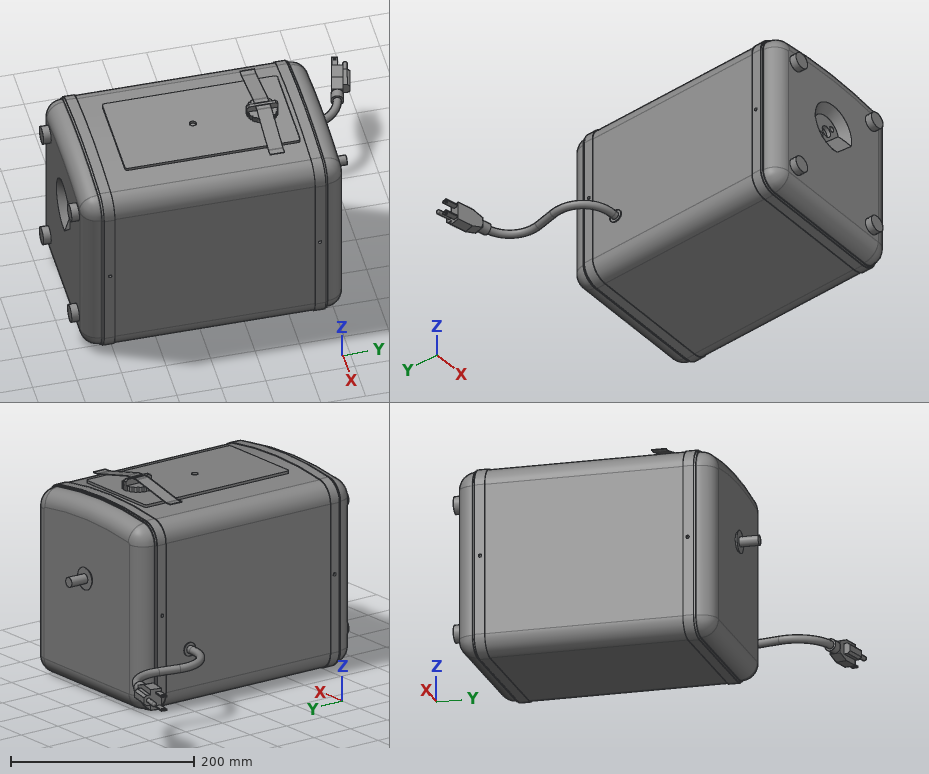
import cadquery as cq
import math


band_half_width = 98.9
band_top = 88.9
band_bottom = -134.85
crown_radius = 510.0
top_corner_radius = 24.0
bottom_corner_radius = 22.0

housing_length = 293.6
cap_inset = 2.4
cap_fillet = 19.2
cap_depth = 19.9
lip_inset = 1.2
lip_depth = 2.2
band_depth = 12.1
shell_inset = 0.9

foot_radius = 10.0
foot_height = 8.6
foot_x = 65.0
foot_heights = (49.0, -99.0)

recess_radius = 31.2
recess_depth = 10.0
ramp_angle = 45.0
recess_floor_radius = recess_radius - recess_depth
ramp_foot = 10.4
ramp_head = 26.4
dial_hole_radius = 7.0
recess_hole_depth = 5.0
pin_hole_radius = 3.3
pin_hole_offset = 13.0

shaft_radius = 5.6
shaft_reach = 24.6
flange_radius = 12.9
flange_back_radius = 10.4
flange_thickness = 2.8

panel_width = 108.4
panel_length = 197.0
panel_y = 8.5
panel_top = 90.6
panel_root = 87.6
panel_corner = 3.0
panel_hole_radius = 3.8
panel_hole_depth = 3.0
panel_hole_y = -1.0

screw_hole_radius = 1.8
screw_hole_depth = 3.0
screw_hole_y = 118.0
screw_hole_z = -22.7

strap_y = 77.0
strap_width = 16.3
strap_thickness = 0.8
strap_top = 103.52
strap_flat_half = 8.1
strap_bend_x = 62.2
strap_end_x = 69.8
knob_radius = 17.5
knob_height = 5.6
flute_count = 20
flute_radius = 1.2
grip_width = 4.2
grip_length = 2 * knob_radius
grip_chamfer = 2.5
grip_below_strap_top = 0.3

cord_radius = 4.6
cord_y = 80.2
cord_z = -69.0
cord_collar_radius = 7.8
cord_collar_thickness = 1.2
cord_first_radius = 41.4
cord_first_turn = 101.7
cord_straight = 25.6
cord_second_radius = 40.7
cord_second_turn = 88.2
cord_lead = 6.35

relief_radius = 6.9
relief_length = 11.0
plug_square_start = 25.0
plug_end = 44.8
plug_thickness = 12.8
plug_width = 24.0
lobe_start = 19.5
lobe_rise = 14.2
lobe_shoulder = 11.0
lobe_half_width = 6.0
lobe_top_half_width = 3.5
blade_length = 16.3
blade_width = 6.6
blade_thickness = 1.5
blade_spacing = 15.8
blade_offset = -2.7
blade_hole_radius = 1.5
blade_hole_from_tip = 3.0
ground_radius = 2.6
ground_tip_fillet = 2.3
ground_length = 17.5
ground_offset = 8.7

half_diagonal = math.sqrt(0.5)
half_length = housing_length / 2
lip_start = half_length - cap_depth
band_outer = lip_start - lip_depth
band_inner = band_outer - band_depth
shell_half_width = band_half_width - shell_inset
shell_left = -shell_half_width


def section(inset, y_start, y_end):
    """Crowned, round-cornered housing section, set in from the bands and extruded along Y."""
    half_width = band_half_width - inset
    top = band_top - inset
    bottom = band_bottom + inset
    crown = crown_radius - inset
    top_corner = top_corner_radius - inset
    bottom_corner = bottom_corner_radius - inset

    crown_centre_z = top - crown
    corner_x = half_width - top_corner
    corner_z = crown_centre_z + math.sqrt((crown - top_corner) ** 2 - corner_x ** 2)
    tilt = math.atan2(corner_x, corner_z - crown_centre_z)
    joint_x = crown * math.sin(tilt)
    joint_z = crown_centre_z + crown * math.cos(tilt)
    middle_angle = (tilt + math.pi / 2) / 2
    middle_x = corner_x + top_corner * math.sin(middle_angle)
    middle_z = corner_z + top_corner * math.cos(middle_angle)
    low_x = half_width - bottom_corner
    low_z = bottom + bottom_corner
    low_middle_x = low_x + bottom_corner * half_diagonal
    low_middle_z = low_z - bottom_corner * half_diagonal

    return (
        cq.Workplane("XZ", origin=(0, y_start, 0))
        .moveTo(-joint_x, joint_z)
        .threePointArc((0, top), (joint_x, joint_z))
        .threePointArc((middle_x, middle_z), (half_width, corner_z))
        .lineTo(half_width, low_z)
        .threePointArc((low_middle_x, low_middle_z), (low_x, bottom))
        .lineTo(-low_x, bottom)
        .threePointArc((-low_middle_x, low_middle_z), (-half_width, low_z))
        .lineTo(-half_width, corner_z)
        .threePointArc((-middle_x, middle_z), (-joint_x, joint_z))
        .close()
        .extrude(y_start - y_end)
    )


def housing_shell():
    """Rounded block between the bands, with a cap, a lip and a band at each end."""
    core = section(cap_inset, -half_length, half_length).faces("<Y or >Y").edges().fillet(cap_fillet)
    front_lip = section(lip_inset, -lip_start, -band_outer)
    rear_lip = section(lip_inset, band_outer, lip_start)
    shell = section(shell_inset, -band_inner, band_inner)
    front_band = section(0, -band_outer, -band_inner)
    rear_band = section(0, band_inner, band_outer)
    return core.union(front_lip).union(rear_lip).union(shell).union(front_band).union(rear_band)


def feet():
    centres = [(x, z) for x in (-foot_x, foot_x) for z in foot_heights]
    end_face = cq.Workplane("XZ", origin=(0, -half_length, 0))
    return end_face.pushPoints(centres).circle(foot_radius).extrude(foot_height)


def dial_recess():
    """Conical recess with a sloping flat on one side and three blind holes in its floor."""
    floor_y = recess_depth - half_length
    cone = (
        cq.Workplane("XY")
        .moveTo(0, -half_length)
        .lineTo(recess_radius, -half_length)
        .lineTo(recess_floor_radius, floor_y)
        .lineTo(0, floor_y)
        .close()
        .revolve(360, (0, 0, 0), (0, 1, 0))
    )
    ramp = (
        cq.Workplane("XY", origin=(0, 0, -recess_radius))
        .moveTo(ramp_foot, floor_y)
        .lineTo(recess_radius, floor_y)
        .lineTo(recess_radius, -half_length)
        .lineTo(ramp_head, -half_length)
        .close()
        .extrude(2 * recess_radius)
        .rotate((0, 0, 0), (0, 1, 0), ramp_angle)
    )
    floor = cq.Workplane("XZ", origin=(0, floor_y, 0))
    pin_step = pin_hole_offset * half_diagonal
    dial_hole = floor.circle(dial_hole_radius).extrude(-recess_hole_depth)
    pin_holes = (
        floor.pushPoints([(pin_step, pin_step), (-pin_step, -pin_step)])
        .circle(pin_hole_radius)
        .extrude(-recess_hole_depth)
    )
    return cone.cut(ramp).union(dial_hole).union(pin_holes)


def shaft():
    """Shaft with a flange that narrows towards the housing."""
    flange_y = half_length + flange_thickness
    return (
        cq.Workplane("XY")
        .moveTo(0, half_length)
        .lineTo(flange_back_radius, half_length)
        .lineTo(flange_radius, flange_y)
        .lineTo(shaft_radius, flange_y)
        .lineTo(shaft_radius, half_length + shaft_reach)
        .lineTo(0, half_length + shaft_reach)
        .close()
        .revolve(360, (0, 0, 0), (0, 1, 0))
    )


def cover_panel():
    return (
        cq.Workplane("XY", origin=(0, panel_y, panel_root))
        .rect(panel_width, panel_length)
        .extrude(panel_top - panel_root)
        .edges("|Z")
        .fillet(panel_corner)
    )


def panel_hole():
    return (
        cq.Workplane("XY", origin=(0, panel_hole_y, panel_top))
        .circle(panel_hole_radius)
        .extrude(-panel_hole_depth)
    )


def screw_holes():
    """Blind holes across both sides of both bands."""
    centres = [(-screw_hole_y, screw_hole_z), (screw_hole_y, screw_hole_z)]
    across = (
        cq.Workplane("YZ")
        .pushPoints(centres)
        .circle(screw_hole_radius)
        .extrude(band_half_width, both=True)
    )
    kept_half_width = band_half_width - screw_hole_depth
    middle = cq.Workplane("XY").box(2 * kept_half_width, housing_length, 2 * band_half_width)
    return across.cut(middle)


def build_housing():
    body = housing_shell().union(feet()).union(shaft()).union(cover_panel())
    return body.cut(dial_recess()).cut(panel_hole()).cut(screw_holes())


def strap():
    """Bent flat strap, with a slot that the knob grip fills."""
    end_top = panel_top + strap_thickness
    upper = [
        (-strap_end_x, end_top),
        (-strap_bend_x, end_top),
        (-strap_flat_half, strap_top),
        (strap_flat_half, strap_top),
        (strap_bend_x, end_top),
        (strap_end_x, end_top),
    ]
    lower = [(x, z - strap_thickness) for x, z in reversed(upper)]
    flat_centre = cq.Workplane("XY", origin=(0, strap_y, strap_top))
    slot = flat_centre.box(grip_width, strap_width, 2 * strap_thickness)
    bent_strip = (
        cq.Workplane("XZ", origin=(0, strap_y, 0))
        .polyline(upper + lower)
        .close()
        .extrude(strap_width / 2, both=True)
    )
    return bent_strip.cut(slot)


def knob():
    """Fluted disc standing on the panel, with an upright grip along Y."""
    disc_base = cq.Workplane("XY", origin=(0, strap_y, panel_top))
    flutes = disc_base.polarArray(knob_radius, 0, 360, flute_count).circle(flute_radius).extrude(knob_height)
    grip_height = strap_top - grip_below_strap_top - panel_top
    grip = (
        disc_base.rect(grip_width, grip_length)
        .extrude(grip_height)
        .faces(">Z")
        .edges("|X")
        .chamfer(grip_chamfer)
    )
    return disc_base.circle(knob_radius).extrude(knob_height).cut(flutes).union(grip)


def build_bracket():
    return strap().union(knob())


def line_step(x, y, heading, length):
    """Point and heading after a straight run; headings are in degrees from +X."""
    angle = math.radians(heading)
    return x + length * math.cos(angle), y + length * math.sin(angle), heading


def arc_step(x, y, heading, radius, turn):
    """Point and heading after an arc that turns left, or right if the turn is negative."""
    chord = 2 * radius * math.sin(math.radians(abs(turn) / 2))
    end_x, end_y, _ = line_step(x, y, heading + turn / 2, chord)
    return end_x, end_y, heading + turn


cord_start = (shell_left, cord_y, 180)
lead_end = line_step(*cord_start, cord_lead)
first_bend_middle = arc_step(*lead_end, cord_first_radius, -cord_first_turn / 2)
first_bend_end = arc_step(*lead_end, cord_first_radius, -cord_first_turn)
straight_end = line_step(*first_bend_end, cord_straight)
second_bend_middle = arc_step(*straight_end, cord_second_radius, cord_second_turn / 2)
cord_end = arc_step(*straight_end, cord_second_radius, cord_second_turn)


def flexible_cord():
    """Round cord in an S bend, with a collar against the side of the housing."""
    path = (
        cq.Workplane("XY", origin=(0, 0, cord_z))
        .moveTo(*cord_start[:2])
        .lineTo(*lead_end[:2])
        .threePointArc(first_bend_middle[:2], first_bend_end[:2])
        .lineTo(*straight_end[:2])
        .threePointArc(second_bend_middle[:2], cord_end[:2])
    )
    start = cq.Workplane("YZ", origin=(shell_left, cord_y, cord_z))
    collar = start.circle(cord_collar_radius).extrude(-cord_collar_thickness)
    return start.circle(cord_radius).sweep(path).union(collar)


def plug():
    """Three-pin plug along +X from the origin, with its ground pin on the -Y side."""
    half_thickness = plug_thickness / 2
    half_width = plug_width / 2
    relief = cq.Workplane("YZ").circle(relief_radius).extrude(relief_length)
    body = (
        cq.Workplane("XZ")
        .moveTo(relief_length, -relief_radius)
        .lineTo(plug_square_start, -half_width)
        .lineTo(plug_end, -half_width)
        .lineTo(plug_end, half_width)
        .lineTo(plug_square_start, half_width)
        .lineTo(relief_length, relief_radius)
        .close()
        .extrude(half_thickness, both=True)
    )
    lobe = (
        cq.Workplane("YZ", origin=(lobe_start, 0, 0))
        .polyline([
            (0, -lobe_half_width),
            (-lobe_shoulder, -lobe_half_width),
            (-lobe_rise, -lobe_top_half_width),
            (-lobe_rise, lobe_top_half_width),
            (-lobe_shoulder, lobe_half_width),
            (0, lobe_half_width),
        ])
        .close()
        .extrude(plug_end - lobe_start)
    )
    face = cq.Workplane("YZ", origin=(plug_end, 0, 0))
    blades = (
        face.pushPoints([(-blade_offset, -blade_spacing / 2), (-blade_offset, blade_spacing / 2)])
        .rect(blade_width, blade_thickness)
        .extrude(blade_length)
    )
    blade_holes = (
        cq.Workplane("XY")
        .center(plug_end + blade_length - blade_hole_from_tip, -blade_offset)
        .circle(blade_hole_radius)
        .extrude(plug_width, both=True)
    )
    ground = (
        face.center(-ground_offset, 0)
        .circle(ground_radius)
        .extrude(ground_length)
        .faces(">X")
        .fillet(ground_tip_fillet)
    )
    return relief.union(body).union(lobe).union(blades.cut(blade_holes)).union(ground)


def build_cord():
    end_x, end_y, heading = cord_end
    placed_plug = plug().rotate((0, 0, 0), (0, 0, 1), heading).translate((end_x, end_y, cord_z))
    return flexible_cord().union(placed_plug)


housing = build_housing()
bracket = build_bracket()
cord = build_cord()

result = cq.Compound.makeCompound([
    *housing.solids().vals(),
    *bracket.solids().vals(),
    *cord.solids().vals(),
])